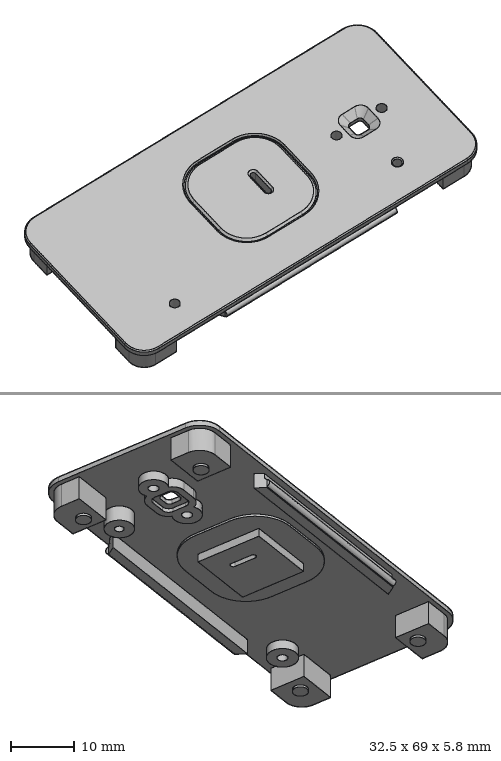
import cadquery as cq


plate_width = 32.55
plate_length = 68.95
plate_depth = 1.1
plate_corner_radius = 3.85
plate_edge_chamfer = 0.2

leg_inset = 0.8
leg_width = 6.5
leg_length = 7.2
leg_depth = 5.4
leg_corner_radius = plate_corner_radius - leg_inset
pin_diameter = 2.55
pin_depth = 5.8
pin_x = 11.5
pin_y = 29.0

rail_wall_x = 15.2
rail_step_x = 15.5
rail_ridge_x = 16.1
rail_inner_x = 13.8
rail_half_length = 18.0
rail_step_start = 1.9
rail_ridge_start = 2.35
rail_ridge_end = 3.65
rail_depth = 3.85
rail_end_setback = 1.1

camera_y = 21.5
housing_size = 7.2
housing_corner_radius = 2.35
boss_depth = 2.75
window_size = 5.6
window_corner_radius = housing_corner_radius - (housing_size - window_size) / 2
throat_size = 2.75
throat_corner_radius = 0.7
funnel_depth = 1.25
throat_depth = 2.1
lens_recess_size = 4.8
lens_recess_corner_radius = housing_corner_radius - (housing_size - lens_recess_size) / 2
screw_offset = 4.5
screw_hole_diameter = 1.7
screw_boss_diameter = 4.8

upper_boss_x = 10.0
upper_boss_diameter = 4.8
upper_boss_depth = rail_depth
upper_hole_diameter = 1.5
upper_hole_chamfer = 0.2
lower_boss_x = 10.9
lower_boss_diameter = 5.1
lower_boss_y = -23.4

groove_outer_size = 18.75
groove_outer_radius = 5.9
groove_outer_slope_width = 0.2
groove_floor_width = 0.2
groove_inner_slope_width = 0.4
groove_depth = 0.35
pad_margin = 0.9
pad_depth = 1.5
block_size = 11.9
block_depth = 3.0

slot_y = 2.0
slot_length = 4.9
slot_width = 0.95
slot_chamfer = 0.35


def rounded_square(size, radius):
    return cq.Sketch().rect(size, size).vertices().fillet(radius)


def rounded_square_prism(size, radius, depth, y=0):
    return cq.Workplane("XY").center(0, y).placeSketch(rounded_square(size, radius)).extrude(-depth)


def rounded_square_frustum(top_size, top_radius, bottom_size, bottom_radius, depth, y=0):
    top = rounded_square(top_size, top_radius)
    bottom = rounded_square(bottom_size, bottom_radius).moved(cq.Location(cq.Vector(0, 0, -depth)))
    return cq.Workplane("XY").center(0, y).placeSketch(top, bottom).loft(ruled=True)


def cylinder(x, y, diameter, depth):
    return cq.Workplane("XY").center(x, y).circle(diameter / 2).extrude(-depth)


def make_plate():
    plate = cq.Workplane("XY").rect(plate_width, plate_length).extrude(-plate_depth)
    plate = plate.edges("|Z").fillet(plate_corner_radius)
    return plate.faces(">Z").edges().chamfer(plate_edge_chamfer)


def make_legs():
    outer_width = plate_width - 2 * leg_inset
    outer_length = plate_length - 2 * leg_inset
    height = leg_depth - plate_edge_chamfer
    outline = (
        cq.Workplane("XY", origin=(0, 0, -plate_edge_chamfer))
        .rect(outer_width, outer_length)
        .extrude(-height)
        .edges("|Z")
        .fillet(leg_corner_radius)
    )
    leg_centers = [
        (side * (outer_width - leg_width) / 2, end * (outer_length - leg_length) / 2)
        for side in (-1, 1)
        for end in (-1, 1)
    ]
    corner_blocks = cq.Workplane("XY").pushPoints(leg_centers).rect(leg_width, leg_length).extrude(-leg_depth)
    legs = outline.intersect(corner_blocks)
    pin_positions = [(side * pin_x, end * pin_y) for side in (-1, 1) for end in (-1, 1)]
    pins = cq.Workplane("XY", origin=(0, 0, -plate_depth)).pushPoints(pin_positions)
    return legs.union(pins.circle(pin_diameter / 2).extrude(plate_depth - pin_depth))


def make_left_rail():
    face_half_length = rail_half_length - rail_end_setback
    body = (
        cq.Workplane("XZ", origin=(0, rail_half_length, 0))
        .moveTo(-rail_inner_x, -plate_edge_chamfer)
        .lineTo(-rail_wall_x, -plate_edge_chamfer)
        .lineTo(-rail_wall_x, -rail_step_start)
        .lineTo(-rail_step_x, -rail_ridge_start)
        .lineTo(-rail_step_x, -rail_depth)
        .lineTo(-rail_inner_x, -rail_depth)
        .close()
        .extrude(2 * rail_half_length)
    )
    plan = (
        cq.Workplane("XY")
        .polyline([
            (-rail_inner_x, -rail_half_length),
            (-rail_inner_x, rail_half_length),
            (-rail_step_x, face_half_length),
            (-rail_step_x, -face_half_length),
        ])
        .close()
        .extrude(-rail_depth)
    )
    ridge = (
        cq.Workplane("XZ", origin=(0, face_half_length, 0))
        .moveTo(-rail_step_x, -rail_ridge_start)
        .threePointArc(
            (-rail_ridge_x, -(rail_ridge_start + rail_ridge_end) / 2),
            (-rail_step_x, -rail_ridge_end),
        )
        .close()
        .extrude(2 * face_half_length)
    )
    return body.intersect(plan).union(ridge)


def make_groove():
    outer_bottom_inset = groove_outer_slope_width
    inner_bottom_inset = outer_bottom_inset + groove_floor_width
    inner_top_inset = inner_bottom_inset + groove_inner_slope_width

    def frustum(top_inset, bottom_inset):
        return rounded_square_frustum(
            groove_outer_size - 2 * top_inset, groove_outer_radius - top_inset,
            groove_outer_size - 2 * bottom_inset, groove_outer_radius - bottom_inset,
            groove_depth,
        )

    return frustum(0, outer_bottom_inset).cut(frustum(inner_top_inset, inner_bottom_inset))


def make_slot():
    through = cq.Workplane("XY").center(0, slot_y).slot2D(slot_length, slot_width).extrude(-block_depth)
    mouth = (
        cq.Workplane("XY", origin=(0, slot_y, 0))
        .slot2D(slot_length + 2 * slot_chamfer, slot_width + 2 * slot_chamfer)
        .extrude(-slot_chamfer, taper=45)
    )
    return through.union(mouth)


def make_window():
    funnel = rounded_square_frustum(
        window_size, window_corner_radius, throat_size, throat_corner_radius, funnel_depth, camera_y
    )
    throat = rounded_square_prism(throat_size, throat_corner_radius, boss_depth, camera_y)
    lens_recess = rounded_square_prism(lens_recess_size, lens_recess_corner_radius, boss_depth, camera_y)
    lens_recess = lens_recess.intersect(
        cq.Workplane("XY", origin=(0, camera_y, -throat_depth))
        .rect(housing_size, housing_size)
        .extrude(throat_depth - boss_depth)
    )
    return funnel.union(throat).union(lens_recess)


def make_upper_hole():
    mouth_radius = upper_hole_diameter / 2 + upper_hole_chamfer
    mouth = (
        cq.Workplane("XY", origin=(upper_boss_x, camera_y, 0))
        .circle(mouth_radius)
        .extrude(-upper_hole_chamfer, taper=45)
    )
    return cylinder(upper_boss_x, camera_y, upper_hole_diameter, upper_boss_depth).union(mouth)


screw_positions = [(0, camera_y + screw_offset), (0, camera_y - screw_offset)]
left_rail = make_left_rail()

result = make_plate().union(make_legs())
result = result.union(left_rail).union(left_rail.mirror("YZ"))
result = result.union(rounded_square_prism(housing_size, housing_corner_radius, boss_depth, camera_y))
for x, y in screw_positions:
    result = result.union(cylinder(x, y, screw_boss_diameter, boss_depth))
result = result.union(cylinder(upper_boss_x, camera_y, upper_boss_diameter, upper_boss_depth))
result = result.union(cylinder(lower_boss_x, lower_boss_y, lower_boss_diameter, boss_depth))
pad_size = groove_outer_size + 2 * pad_margin
result = result.union(rounded_square_prism(pad_size, groove_outer_radius + pad_margin, pad_depth))
result = result.union(cq.Workplane("XY").rect(block_size, block_size).extrude(-block_depth))

result = result.cut(make_groove())
result = result.cut(make_slot())
result = result.cut(make_window())
result = result.cut(make_upper_hole())
for x, y in screw_positions + [(lower_boss_x, lower_boss_y)]:
    result = result.cut(cylinder(x, y, screw_hole_diameter, boss_depth))